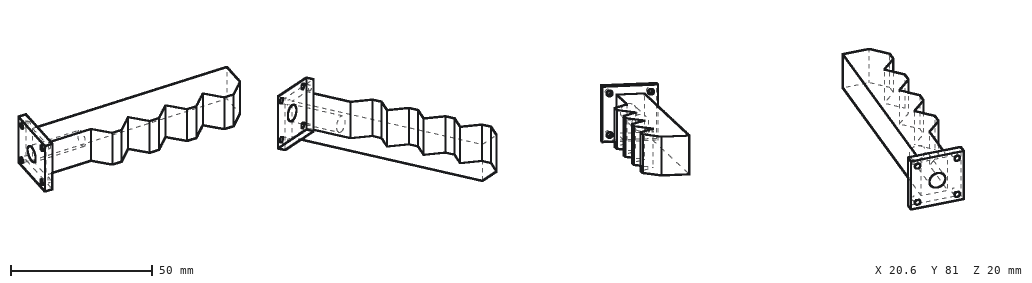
import cadquery as cq

plate_side = 20.0
plate_thickness = 3.0

total_length = 81.0
bar_width = 10.05
bar_height = 14.0

total_width = 20.65
tooth_count = 4
tooth_pitch = 15.0
bar_side_x = bar_width / 2
tooth_tip_x = total_width - plate_side / 2
tooth_depth = tooth_tip_x - bar_side_x

center_hole_diameter = 6.0
center_hole_depth = 20.0

screw_hole_diameter = 2.0
screw_hole_spacing = 15.0


def make_plate():
    """Square plate with a screw hole through each corner."""
    plate = cq.Workplane("XY").box(
        plate_side, plate_thickness, plate_side, centered=(True, False, True)
    )
    screw_holes = (
        cq.Workplane("XZ")
        .rect(screw_hole_spacing, screw_hole_spacing, forConstruction=True)
        .vertices()
        .circle(screw_hole_diameter / 2)
        .extrude(-plate_thickness)
    )
    return plate.cut(screw_holes)


def make_toothed_bar():
    """Bar with the teeth along one side, packed root to root from the far end."""
    outline = [(-bar_side_x, total_length), (-bar_side_x, 0), (bar_side_x, 0)]
    first_root_y = total_length - tooth_count * tooth_pitch
    for index in range(tooth_count):
        start_y = first_root_y + index * tooth_pitch
        end_y = start_y + tooth_pitch
        outline += [
            (bar_side_x, start_y),
            (tooth_tip_x, start_y + tooth_depth),
            (tooth_tip_x, end_y - tooth_depth),
        ]
    outline.append((bar_side_x, total_length))
    return cq.Workplane("XY").polyline(outline).close().extrude(bar_height / 2, both=True)


def make_center_hole():
    return cq.Workplane("XZ").circle(center_hole_diameter / 2).extrude(-center_hole_depth)


result = make_plate().union(make_toothed_bar()).cut(make_center_hole())